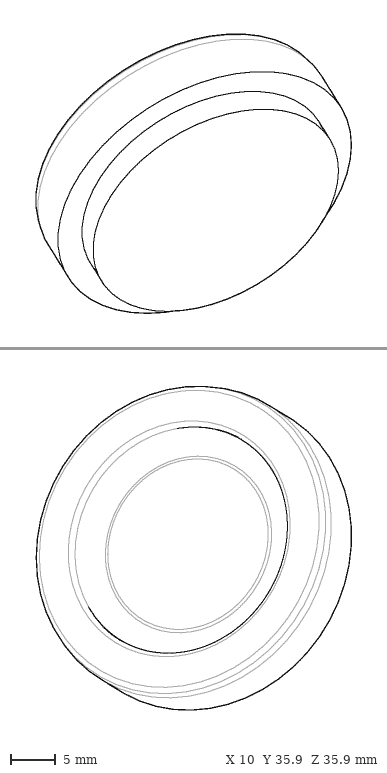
import cadquery as cq

total_length = 10.0
body_length = 7.0
body_radius = 17.95
spigot_radius = 30.0 / 2

taper_length = 1.5
taper_drop = 0.32
rim_fillet = 0.6

lip_radius = 12.65
disc_radius = 10.05
disc_depth = 2.37
groove_mid_radius = 11.52
groove_depth = 3.0
lip_fillet = 0.55
disc_fillet = 0.5


def half_section():
    """Half section of the turned part: X is the axis, Y is the radius."""
    return (
        cq.Workplane("XY")
        .moveTo(disc_depth, 0)
        .lineTo(disc_depth, disc_radius)
        .threePointArc((groove_depth, groove_mid_radius), (0, lip_radius))
        .lineTo(0, body_radius - taper_drop)
        .lineTo(taper_length, body_radius)
        .lineTo(body_length, body_radius)
        .lineTo(body_length, spigot_radius)
        .lineTo(total_length, spigot_radius)
        .lineTo(total_length, 0)
        .close()
    )


def round_front_edges(part):
    """Round the outer rim, then the recess lip, then the disc edge."""
    part = part.faces("<X").edges(cq.selectors.RadiusNthSelector(-1)).fillet(rim_fillet)
    part = part.faces("<X").edges(cq.selectors.RadiusNthSelector(0)).fillet(lip_fillet)
    disc_face = cq.selectors.NearestToPointSelector((disc_depth, 0, 0))
    return part.faces(disc_face).edges("%CIRCLE").fillet(disc_fillet)


turned = half_section().revolve(360, (0, 0, 0), (1, 0, 0))
result = round_front_edges(turned)